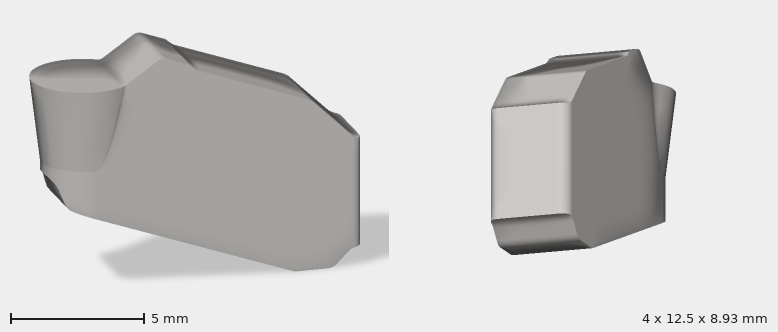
import cadquery as cq
import math


body_width = 3.2
tail_y = 10.49
tail_corner_radius = 0.4

head_radius = 2.0
neck_radius = body_width / 2
head_taper = math.radians(7)
head_height = (head_radius - neck_radius) / math.tan(head_taper)

body_slope = math.tan(math.radians(20))
top_ramp_slope = math.tan(math.radians(44))
bottom_ramp_slope = math.tan(math.radians(45))
step_slope = math.tan(math.radians(45))
peak_slope = math.tan(math.radians(34))
notch_ceiling_slope = math.tan(math.radians(20))

tail_top_z = -2.97
tail_bottom_z = -7.256
base_z = -8.0
tail_top_ramp_y = 10.23
tail_bottom_ramp_y = 10.08
base_front_y = 7.83
roof_z_above_axis = 1.80
step_foot_y = 3.963
step_run = 0.21
peak_foot_y = 1.185
nose_tip_y = -0.975
nose_notch_y = -1.385

ramp_radius = 0.5
roof_back_radius = 0.6
base_radius = 0.5
step_foot_radius = 0.85
step_top_radius = 0.3
peak_radius = 0.4
nose_radius = 0.4
notch_radius = 1.0

margin = 1.0

blank_top_z = 1.2


def meeting_point(first, first_slope, second, second_slope):
    """Point where two sloped lines, each given by one point, cross."""
    y1, z1 = first
    y2, z2 = second
    y = (z2 - z1 + first_slope * y1 - second_slope * y2) / (first_slope - second_slope)
    return y, z1 + first_slope * (y - y1)


def rounded_outline(plane, corners):
    """Closed outline through (point, radius) corners; radius 0 stays sharp, as the first must."""
    outline = cq.Workplane(plane).moveTo(*corners[0][0])
    for i, (point, radius) in enumerate(corners):
        corner = cq.Vector(*point)
        to_previous = (cq.Vector(*corners[i - 1][0]) - corner).normalized()
        to_next = (cq.Vector(*corners[(i + 1) % len(corners)][0]) - corner).normalized()
        half_angle = to_previous.getAngle(to_next) / 2
        setback = radius / math.tan(half_angle)
        arc_start = corner + to_previous * setback
        if i > 0:
            outline = outline.lineTo(arc_start.x, arc_start.y)
        if radius > 0:
            bisector = (to_previous + to_next).normalized()
            arc_middle = corner + bisector * (radius / math.sin(half_angle) - radius)
            arc_end = corner + to_next * setback
            outline = outline.threePointArc((arc_middle.x, arc_middle.y), (arc_end.x, arc_end.y))
    return outline.close()


def side_profile():
    """Prism across X that trims the part to its side outline."""
    front_y = -head_radius - margin
    tail_top_ramp = (tail_top_ramp_y, tail_top_z)
    tail_bottom_ramp = (tail_bottom_ramp_y, tail_bottom_z)
    base_front = (base_front_y, base_z)
    base_back = (tail_bottom_ramp_y - (tail_bottom_z - base_z) / bottom_ramp_slope, base_z)

    roof_back = meeting_point(tail_top_ramp, -top_ramp_slope, (0, roof_z_above_axis), -body_slope)
    step_foot = (step_foot_y, roof_z_above_axis - body_slope * step_foot_y)
    step_top = (step_foot[0] - step_run, step_foot[1] + step_run * step_slope)
    peak_foot = (peak_foot_y, 0)
    peak = meeting_point(step_top, -body_slope, peak_foot, peak_slope)

    nose_tip = (nose_tip_y, base_z + (base_front_y - nose_tip_y) * body_slope)
    nose_notch = (nose_notch_y, nose_tip[1] + (nose_tip_y - nose_notch_y) / body_slope)
    notch_front = (front_y, nose_notch[1] + (nose_notch_y - front_y) * notch_ceiling_slope)

    corners = [
        ((tail_y, tail_top_z), 0),
        (tail_top_ramp, ramp_radius),
        (roof_back, roof_back_radius),
        (step_foot, step_foot_radius),
        (step_top, step_top_radius),
        (peak, peak_radius),
        (peak_foot, peak_radius),
        ((front_y, 0), 0),
        (notch_front, 0),
        (nose_notch, notch_radius),
        (nose_tip, nose_radius),
        (base_front, base_radius),
        (base_back, base_radius),
        (tail_bottom_ramp, ramp_radius),
        ((tail_y, tail_bottom_z), 0),
    ]
    return rounded_outline("YZ", corners).extrude(head_radius + margin, both=True)


def body_blank():
    """Flat-sided body from the head axis back to the rounded tail."""
    height = blank_top_z - base_z
    slab = cq.Workplane("XY").box(body_width, tail_y, height, centered=(True, False, False))
    return slab.edges("|Z and >Y").fillet(tail_corner_radius).translate((0, 0, base_z))


def head_blank():
    """Neck cylinder with the cone that widens up to and past the flat top."""
    neck_top_z = -head_height
    cone_top_radius = neck_radius + (blank_top_z - neck_top_z) * math.tan(head_taper)
    half_section = [
        (0, base_z),
        (neck_radius, base_z),
        (neck_radius, neck_top_z),
        (cone_top_radius, blank_top_z),
        (0, blank_top_z),
    ]
    return cq.Workplane("XZ").polyline(half_section).close().revolve(360, (0, 0), (0, 1))


result = body_blank().union(head_blank()).intersect(side_profile())